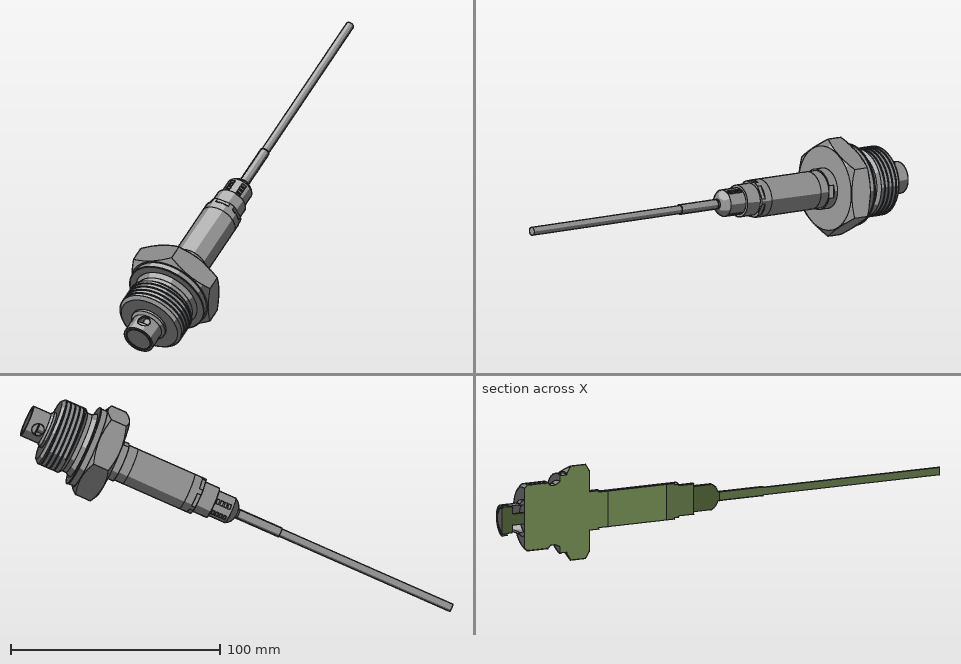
import cadquery as cq
import math


thread_end_y = 11.4
thread_length = 13.5
neck_end_y = 27.1
flange_start_y = 29.5
hex_start_y = 33.0
hex_end_y = 44.6
sleeve_end_y = 49.4
housing_end_y = 54.1
tube_end_y = 84.0
rear_ring_end_y = 88.0
rear_flats_end_y = 90.0
fitting_end_y = 97.7
nut_dome_start_y = 106.8
nut_dome_end_y = 110.1
nut_end_y = 110.9
strain_relief_end_y = 133.0
overall_length = 223.0

hex_across_flats = 41.0
hex_chamfer_radius = 20.3
hex_chamfer_angle = 30.0
flange_radius = 19.55
flange_lip_radius = 19.8
flange_lip_length = 0.6
thread_radius = 33.25 / 2
neck_radius = 15.1
thread_chamfer = thread_radius - neck_radius
relief_radius = 16.4
sleeve_radius = 9.75
body_radius = 9.05
fitting_radius = 7.7
rear_across_flats = 16.8
strain_relief_radius = 2.35
cable_radius = 1.95

thread_pitch = 2.309
groove_depth = 0.4
groove_half_width = 0.45
groove_end_margin = 0.25
groove_overlap = 0.2

sleeve_flat_distance = 9.25
sleeve_flat_length = 2.8

collar_chamfer = 1.2
guard_radius = 7.7
guard_bore_radius = 6.7
collar_end_y = 9.0
cross_hole_y = 5.7
cross_hole_diameter = 6.0
plug_back_y = 5.6
plug_chamfer = 0.6
stem_radius = 2.9

nut_radius = 6.45
dome_mid_radius = 4.9
dome_mid_y = 108.8
grip_angles = (28, 152, 208, 332)
grip_count = 4
grip_pitch = 2.0
grip_length = 1.3
grip_width = 2.4
grip_depth = 0.35
grip_start_y = 99.0


def revolve_y(points):
    """Solid of revolution about Y from an outline of (radius, y) points."""
    return cq.Workplane("XY").polyline(points).close().revolve(360, (0, 0), (0, 1))


def cylinder_y(radius, start_y, end_y):
    return revolve_y([(0, start_y), (radius, start_y), (radius, end_y), (0, end_y)])


def hexagon_y(across_flats, start_y, end_y, turn):
    """Hexagonal bar along Y; with no turn, its corners point to +X and -X."""
    across_corners = across_flats / math.cos(math.radians(30))
    bar = cq.Workplane("XZ", origin=(0, start_y, 0)).polygon(6, across_corners)
    return bar.extrude(start_y - end_y).rotate((0, 0, 0), (0, 1, 0), turn)


def make_hexagon():
    corner_radius = hex_across_flats / 2 / math.cos(math.radians(30))
    rise = corner_radius - hex_chamfer_radius
    chamfer_height = rise * math.tan(math.radians(hex_chamfer_angle))
    chamfer_envelope = revolve_y([
        (0, hex_start_y),
        (hex_chamfer_radius, hex_start_y),
        (corner_radius, hex_start_y + chamfer_height),
        (corner_radius, hex_end_y - chamfer_height),
        (hex_chamfer_radius, hex_end_y),
        (0, hex_end_y),
    ])
    return hexagon_y(hex_across_flats, hex_start_y, hex_end_y, 30).intersect(chamfer_envelope)


def make_thread_groove():
    land_margin = thread_chamfer + groove_end_margin
    groove_length = thread_length - 2 * land_margin
    helix = cq.Wire.makeHelix(thread_pitch, groove_length, thread_radius)
    section = cq.Workplane("XZ").polyline([
        (thread_radius - groove_depth, 0),
        (thread_radius + groove_overlap, -groove_half_width),
        (thread_radius + groove_overlap, groove_half_width),
    ]).close()
    groove = section.sweep(cq.Workplane(obj=helix), isFrenet=True)
    return groove.rotate((0, 0, 0), (1, 0, 0), -90).translate((0, thread_end_y + land_margin, 0))


def make_housing():
    thread_back_y = thread_end_y + thread_length
    turned = revolve_y([
        (0, thread_end_y),
        (neck_radius, thread_end_y),
        (thread_radius, thread_end_y + thread_chamfer),
        (thread_radius, thread_back_y - thread_chamfer),
        (neck_radius, thread_back_y),
        (neck_radius, neck_end_y),
        (relief_radius, flange_start_y),
        (flange_lip_radius, flange_start_y),
        (flange_lip_radius, flange_start_y + flange_lip_length),
        (flange_radius, flange_start_y + flange_lip_length),
        (flange_radius, hex_start_y),
        (sleeve_radius, hex_start_y),
        (sleeve_radius, sleeve_end_y),
        (body_radius, sleeve_end_y),
        (body_radius, housing_end_y),
        (0, housing_end_y),
    ])
    housing = turned.cut(make_thread_groove()).union(make_hexagon())
    flat_depth = sleeve_radius - sleeve_flat_distance
    for side in (-1, 1):
        flat_cutter = cq.Workplane("XY").box(flat_depth, sleeve_flat_length, 2 * sleeve_radius)
        flat_x = side * (sleeve_flat_distance + flat_depth / 2)
        flat_y = sleeve_end_y - sleeve_flat_length / 2
        housing = housing.cut(flat_cutter.translate((flat_x, flat_y, 0)))
    return housing


def make_guard_tube():
    tube = revolve_y([
        (guard_bore_radius, 0),
        (guard_radius, 0),
        (guard_radius, collar_end_y),
        (body_radius, collar_end_y + collar_chamfer),
        (body_radius, thread_end_y),
        (guard_bore_radius, thread_end_y),
    ])
    cross_hole = cq.Workplane("XY", origin=(0, cross_hole_y, 0)).circle(cross_hole_diameter / 2)
    return tube.cut(cross_hole.extrude(guard_radius, both=True))


def make_sensing_plug():
    """Chamfered disc filling the mouth of the guard tube, on a stem back to the housing."""
    return revolve_y([
        (0, 0),
        (guard_bore_radius - plug_chamfer, 0),
        (guard_bore_radius, plug_chamfer),
        (guard_bore_radius, plug_back_y - plug_chamfer),
        (guard_bore_radius - plug_chamfer, plug_back_y),
        (stem_radius, plug_back_y),
        (stem_radius, thread_end_y),
        (0, thread_end_y),
    ])


def make_rear_fitting():
    ring = cylinder_y(body_radius, tube_end_y, rear_ring_end_y)
    flats = cylinder_y(body_radius, rear_ring_end_y, rear_flats_end_y).intersect(
        hexagon_y(rear_across_flats, rear_ring_end_y, rear_flats_end_y, 0)
    )
    spigot = cylinder_y(fitting_radius, rear_flats_end_y, fitting_end_y)
    return ring.union(flats).union(spigot)


def make_cable_nut():
    nut = (
        cq.Workplane("XY")
        .moveTo(0, fitting_end_y)
        .lineTo(nut_radius, fitting_end_y)
        .lineTo(nut_radius, nut_dome_start_y)
        .threePointArc((dome_mid_radius, dome_mid_y), (strain_relief_radius, nut_dome_end_y))
        .lineTo(strain_relief_radius, nut_end_y)
        .lineTo(0, nut_end_y)
        .close()
        .revolve(360, (0, 0), (0, 1))
    )
    for angle in grip_angles:
        for index in range(grip_count):
            pocket = cq.Workplane("XY").box(grip_width, grip_length, 2 * grip_depth)
            pocket_y = grip_start_y + index * grip_pitch
            pocket = pocket.translate((0, pocket_y, nut_radius))
            nut = nut.cut(pocket.rotate((0, 0, 0), (0, 1, 0), angle))
    return nut


def make_strain_relief():
    return revolve_y([
        (cable_radius, nut_end_y),
        (strain_relief_radius, nut_end_y),
        (strain_relief_radius, strain_relief_end_y),
        (cable_radius, strain_relief_end_y),
    ])


housing = make_housing()
guard_tube = make_guard_tube()
sensing_plug = make_sensing_plug()
body_tube = cylinder_y(body_radius, housing_end_y, tube_end_y)
rear_fitting = make_rear_fitting()
cable_nut = make_cable_nut()
strain_relief = make_strain_relief()
cable = cylinder_y(cable_radius, nut_end_y, overall_length)

result = cq.Compound.makeCompound([
    housing.val(),
    guard_tube.val(),
    sensing_plug.val(),
    body_tube.val(),
    rear_fitting.val(),
    cable_nut.val(),
    strain_relief.val(),
    cable.val(),
])